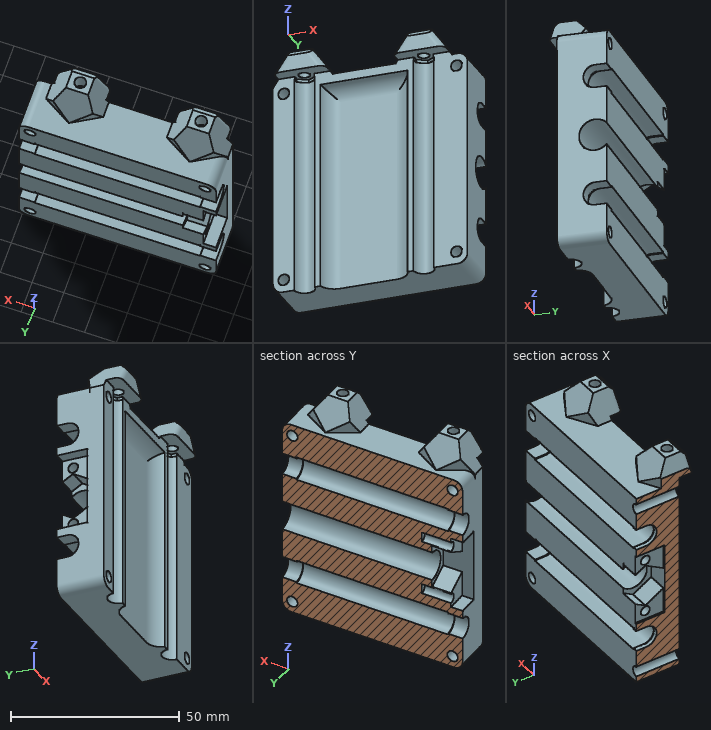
import cadquery as cq
import math

plate_width = 62.0
plate_height = 69.0
plate_thickness = 15.5
corner_radius = 3.1
side_middle_z = plate_height / 2

plate_hole_diameter = 3.5
plate_hole_inset_x = 3.5
plate_hole_inset_z = 4.0

rod_positions = (10.05, 48.05)
groove_diameter = 6.5

part_height = 77.0
overall_depth = 20.11
hook_rise = part_height - plate_height
hook_overhang = overall_depth - plate_thickness
hook_top_half_width = 3.5
hook_half_width = 9.0
hook_ridge_depth = 10.35
hook_top_depth = 3.0
hook_rear_angle = 30.0
hook_base_z = plate_height - corner_radius
hook_underside_z = 70.0
hook_edge_size = 2.0
hook_hole_diameter = 3.5

hex_recess_flats = 6.2

pocket_width = 28.0
pocket_middle_x = sum(rod_positions) / 2
pocket_top_z = 66.2
pocket_depth = 3.8
pocket_round = 5.0

cross_axis_depth = 3.6
cross_axis_y = plate_thickness - cross_axis_depth
cross_slot_width = 7.3
cross_slot_offset = 19.0
inner_slot_width = 8.0
end_wall_thickness = 5.0
shaft_diameter = 10.0

nut_flats = 13.0
nut_trap_depth = 6.5
side_recess_height = 25.0
side_recess_inward = cross_axis_depth + nut_flats / 2
side_recess_depth = 4.0
side_screw_diameter = 3.2
side_screw_offset = 9.5
side_screw_depth = 10.0


def block(x0, x1, y0, y1, z0, z1):
    """Box between two opposite corners."""
    return cq.Workplane("XY").box(x1 - x0, y1 - y0, z1 - z0, centered=False).translate((x0, y0, z0))


def upright_cylinder(diameter, x, z0, z1):
    """Cylinder along Z with its axis in the front face."""
    return cq.Workplane("XY", origin=(x, 0, z0)).circle(diameter / 2).extrude(z1 - z0)


def cross_cylinder(diameter, z, x0, x1):
    """Cylinder along X on the crosswise centre line."""
    return cq.Workplane("YZ", origin=(x0, cross_axis_y, z)).circle(diameter / 2).extrude(x1 - x0)


def upright_hexagon(flats, x, z0, z1):
    """Hexagonal prism along Z with corners pointing to the front and back."""
    corner_diameter = flats / math.cos(math.pi / 6)
    prism = cq.Workplane("XY").polygon(6, corner_diameter).extrude(z1 - z0)
    return prism.rotate((0, 0, 0), (0, 0, 1), 90).translate((x, 0, z0))


def make_plate():
    plate = block(0, plate_width, 0, plate_thickness, 0, plate_height).edges("|Y").fillet(corner_radius)
    holes = (
        cq.Workplane("XZ", origin=(plate_width / 2, 0, side_middle_z))
        .rect(plate_width - 2 * plate_hole_inset_x, plate_height - 2 * plate_hole_inset_z, forConstruction=True)
        .vertices()
        .circle(plate_hole_diameter / 2)
        .extrude(-plate_thickness)
    )
    return plate, holes


def make_hook(x):
    """Sloping-sided hook, pointed at the rear and overhanging the front face."""
    flank_run = (hook_half_width - hook_top_half_width) / hook_rise
    base_half_width = hook_top_half_width + flank_run * (part_height - hook_base_z)
    front_outline = [
        (-base_half_width, hook_base_z),
        (base_half_width, hook_base_z),
        (hook_top_half_width, part_height),
        (-hook_top_half_width, part_height),
    ]
    hook = (
        cq.Workplane("XZ", origin=(0, -hook_overhang, 0))
        .polyline(front_outline)
        .close()
        .extrude(-(hook_overhang + hook_ridge_depth))
    )
    flank_edges = hook.faces("<Y").edges("not |X")
    hook = flank_edges.fillet(hook_edge_size)
    top_cutter = (
        cq.Workplane("YZ", origin=(-base_half_width, 0, 0))
        .moveTo(-hook_overhang, part_height)
        .lineTo(-hook_overhang + hook_edge_size, part_height)
        .lineTo(-hook_overhang, part_height - hook_edge_size)
        .close()
        .extrude(2 * base_half_width)
    )
    hook = hook.cut(top_cutter)

    wall_depth = hook_ridge_depth - base_half_width * math.tan(math.radians(hook_rear_angle))
    plan = (
        cq.Workplane("XY", origin=(0, 0, hook_base_z))
        .moveTo(-base_half_width, -hook_overhang)
        .lineTo(base_half_width, -hook_overhang)
        .lineTo(base_half_width, wall_depth)
        .lineTo(0, hook_ridge_depth)
        .lineTo(-base_half_width, wall_depth)
        .close()
        .extrude(part_height - hook_base_z)
    )
    profile = (
        cq.Workplane("YZ", origin=(-base_half_width, 0, 0))
        .moveTo(0, hook_base_z)
        .lineTo(hook_ridge_depth, hook_base_z)
        .lineTo(hook_ridge_depth, plate_height)
        .lineTo(hook_top_depth, part_height)
        .lineTo(-hook_overhang, part_height)
        .lineTo(-hook_overhang, hook_underside_z)
        .lineTo(0, hook_underside_z)
        .close()
        .extrude(2 * base_half_width)
    )
    return hook.intersect(plan).intersect(profile).translate((x, 0, 0))


def rod_cut(x):
    """Groove, hexagonal recess and hook hole on one rod axis."""
    groove = upright_cylinder(groove_diameter, x, 0, plate_height)
    recess = upright_hexagon(hex_recess_flats, x, plate_height, hook_underside_z)
    hole = upright_cylinder(hook_hole_diameter, x, plate_height, part_height)
    return groove.union(recess).union(hole)


def front_pocket():
    """Pocket with rounded floor edges at both sides and at the top."""
    half_width = pocket_width / 2
    pocket = block(
        pocket_middle_x - half_width, pocket_middle_x + half_width,
        -pocket_depth, pocket_depth,
        0, pocket_top_z,
    )
    floor_edges = pocket.faces(">Y").edges("not <Z")
    return floor_edges.fillet(pocket_round)


def round_slot(width, z, x0, x1):
    """Round-bottomed slot along X, open at the back face."""
    half_width = width / 2
    opening = block(x0, x1, cross_axis_y, plate_thickness, z - half_width, z + half_width)
    return opening.union(cross_cylinder(width, z, x0, x1))


def cross_slot(z):
    """Slot through the whole plate width, widened between the end walls."""
    through = round_slot(cross_slot_width, z, 0, plate_width)
    inner = round_slot(inner_slot_width, z, end_wall_thickness, plate_width - end_wall_thickness)
    return through.union(inner)


def side_recess():
    """Shaft hole with the recess, nut trap and screw holes in the -X side."""
    half_height = side_recess_height / 2
    cut = block(
        0, side_recess_depth,
        plate_thickness - side_recess_inward, plate_thickness,
        side_middle_z - half_height, side_middle_z + half_height,
    )
    nut = (
        cq.Workplane("YZ")
        .polygon(6, nut_flats / math.cos(math.pi / 6))
        .extrude(nut_trap_depth)
        .rotate((0, 0, 0), (1, 0, 0), 90)
        .translate((side_recess_depth, cross_axis_y, side_middle_z))
    )
    cut = cut.union(nut).union(cross_cylinder(shaft_diameter, side_middle_z, 0, plate_width))
    for side in (-1, 1):
        screw_z = side_middle_z + side * side_screw_offset
        screw_end = side_recess_depth + side_screw_depth
        cut = cut.union(cross_cylinder(side_screw_diameter, screw_z, side_recess_depth, screw_end))
    return cut


body, plate_holes = make_plate()
for rod_x in rod_positions:
    body = body.union(make_hook(rod_x))
body = body.intersect(block(0, plate_width, -hook_overhang, plate_thickness, 0, part_height))

for rod_x in rod_positions:
    body = body.cut(rod_cut(rod_x))
body = body.cut(plate_holes).cut(front_pocket()).cut(side_recess())
for side in (-1, 1):
    body = body.cut(cross_slot(side_middle_z + side * cross_slot_offset))

result = body